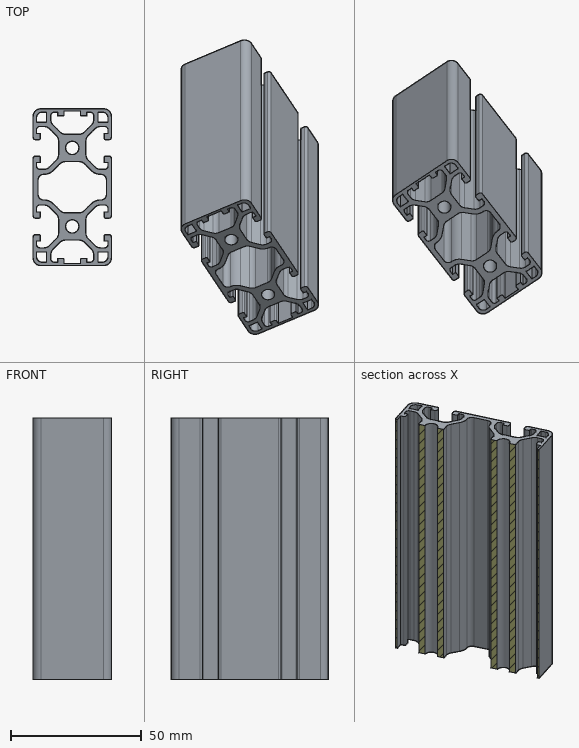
import cadquery as cq
import math

cell = 30.0
width = cell
depth = 2 * cell
length = 100.0
outer_radius = 3.0

bore_diameter = 5.0
core_width = 10.5
core_half = core_width / 2
core_radius = 3.0

web_thickness = 2.0
web_offset = web_thickness / math.sqrt(2)

face = cell / 2
slot_wall = 1.4
slot_width = 16.3
slot_half_width = slot_width / 2
slot_end_radius = 1.2
slot_web_radius = 3.0
lip_depth = 2.8
lip_shoulder = 5.6
opening_half = 3.1
lip_outer_radius = 1.0
lip_inner_radius = 0.6
skin_thickness = 0.9

corner_web = 1.7
corner_hole_radius = 2.0

chamber_wall = 2.0
chamber_web = 2.0
chamber_corner_radius = 2.0
chamber_bend_radius = 5.0


def rounded_prism(corners):
    """Extrude a closed outline of (x, y, radius) corners over the full length."""
    arcs = []
    for i, (x, y, radius) in enumerate(corners):
        here = cq.Vector(x, y)
        before = (cq.Vector(*corners[i - 1][:2]) - here).normalized()
        after = (cq.Vector(*corners[(i + 1) % len(corners)][:2]) - here).normalized()
        half_angle = before.getAngle(after) / 2
        reach = radius / math.tan(half_angle)
        bulge = radius / math.sin(half_angle) - radius
        middle = here + (before + after).normalized() * bulge
        arcs.append((here + before * reach, middle, here + after * reach, radius))

    outline = cq.Workplane("XY").moveTo(*arcs[0][2].toTuple()[:2])
    for start, middle, end, radius in arcs[1:] + arcs[:1]:
        outline = outline.lineTo(*start.toTuple()[:2])
        if radius > 0:
            outline = outline.threePointArc(middle.toTuple()[:2], end.toTuple()[:2])
    return outline.close().extrude(length)


def mirrored(half):
    """Complete an outline that is symmetric about the X axis."""
    return half + [(x, -y, radius) for x, y, radius in reversed(half)]


def slot_cavity():
    """Wide inner part of a T-slot that opens towards +X from the cell centre."""
    return [
        (core_half, core_half - web_offset, core_radius),
        (slot_half_width + web_offset, slot_half_width, slot_web_radius),
        (face - slot_wall, slot_half_width, slot_end_radius),
        (face - slot_wall, lip_shoulder, 0),
        (face - lip_depth, lip_shoulder, 0),
        (face - lip_depth, opening_half, lip_inner_radius),
    ]


def open_slot():
    """T-slot whose mouth flares into the outer face through rounded lips."""
    mouth_half = opening_half + lip_outer_radius
    slot = rounded_prism(mirrored(slot_cavity() + [(face, opening_half, 0)]))
    mouth = cq.Workplane("XY").rect(2 * lip_outer_radius, 2 * mouth_half).extrude(length)
    mouth = mouth.translate((face, 0, 0))
    for side in (-1, 1):
        lip_round = cq.Workplane("XY").circle(lip_outer_radius).extrude(length)
        mouth = mouth.cut(lip_round.translate((face - lip_outer_radius, side * mouth_half, 0)))
    return slot.union(mouth)


def closed_slot():
    """T-slot covered by a thin skin at the outer face."""
    return rounded_prism(mirrored(slot_cavity() + [(face - skin_thickness, opening_half, 0)]))


def corner_hole():
    """Square hollow in the +X +Y corner of a cell, rounded on its outer corner."""
    near = slot_half_width + corner_web
    far = face - slot_wall
    return rounded_prism([(near, near, 0), (far, near, 0), (far, far, corner_hole_radius), (near, far, 0)])


def half_chamber():
    """+Y half of the chamber between the cores, reaching up to the upper core."""
    wall = width / 2 - chamber_wall
    shoulder = face - slot_half_width - chamber_web
    roof = face - core_half
    right = [
        (wall, 0, 0),
        (wall, shoulder, chamber_corner_radius),
        (face - shoulder - web_offset, shoulder, chamber_bend_radius),
        (core_half - web_offset, roof, core_radius),
    ]
    return rounded_prism(right + [(-x, y, radius) for x, y, radius in reversed(right)])


def cell_cutters():
    """All the cavities of the +Y cell, in profile coordinates."""
    bore = cq.Workplane("XY").circle(bore_diameter / 2).extrude(length)
    cutters = [bore, closed_slot().rotate((0, 0, 0), (0, 0, 1), 90)]
    for right_side in (open_slot(), corner_hole()):
        cutters += [right_side, right_side.mirror("YZ")]
    return [cutter.translate((0, cell / 2, 0)) for cutter in cutters]


result = cq.Workplane("XY").rect(width, depth).extrude(length).edges("|Z").fillet(outer_radius)
for cutter in cell_cutters() + [half_chamber()]:
    result = result.cut(cutter).cut(cutter.mirror("XZ"))